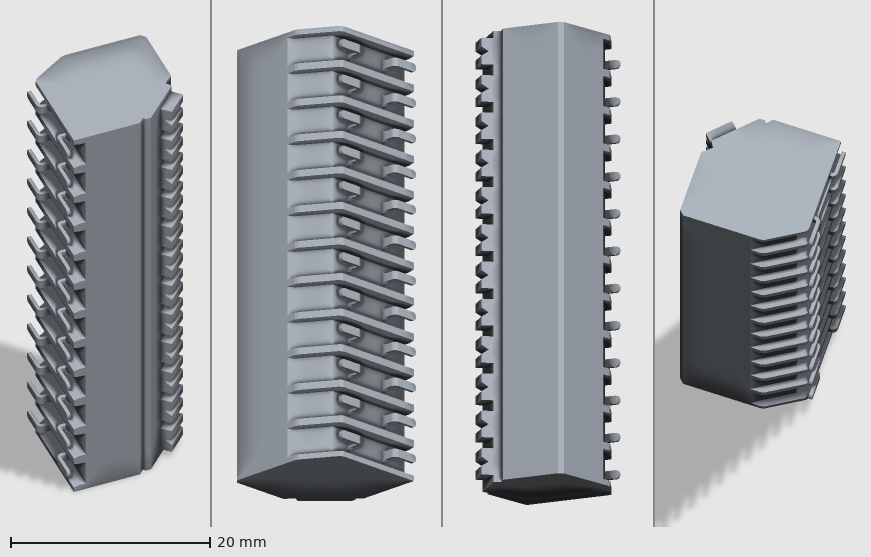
import cadquery as cq
import math

width = 12.7
depth = 12.9
length = 46.1
back_chamfer = 0.45

slope_height = 4.0
slope_run = 2.45
slope_chamfer = 0.25

pole_count = 12
end_walls = 0.39
pole_pitch = (length - end_walls) / pole_count

floor_depth = 1.3
rib_tip_width = 0.75
rib_root_width = 1.0
slope_gradient = slope_height / slope_run
draft_depth = floor_depth / math.hypot(1, slope_gradient)
draft_start = 0.4

notch_start = (7.05, depth)
notch_bottom = (7.9, 11.95)
button_seat = (8.55, 12.35)
seat_end = (12.35, 8.55)
lip_end = (seat_end[0], 8.0)
lip_root = (12.1, 7.75)
right_face_top = (width, 7.2)

button_length = 2.95
button_rise = 1.25
button_width = 2.7
groove_width = 0.9
groove_depth = 0.75

pin_thickness = 0.35
pin_width = 0.88
pin_drop = 0.6
bend_radius = 0.55
left_stem_x = 4.8
right_stem_x = 9.4
foot_length = 3.0
tip_radius = 0.45 * pin_width
shoulder_width = 1.5
shoulder_end = 0.75

embed = 0.45

pole_centres = [(i - (pole_count - 1) / 2) * pole_pitch for i in range(pole_count)]


def z_prism(outline, height):
    """Extrude a closed XY outline symmetrically about Z = 0."""
    return outline.extrude(height / 2, both=True)


def make_housing():
    outline = (
        cq.Workplane("XY")
        .moveTo(width, 0)
        .lineTo(slope_run, 0)
        .lineTo(0, slope_height)
        .lineTo(0, depth)
        .lineTo(*notch_start)
        .lineTo(*notch_bottom)
        .lineTo(*button_seat)
        .lineTo(*seat_end)
        .lineTo(*lip_end)
        .lineTo(*lip_root)
        .lineTo(*right_face_top)
        .close()
    )
    housing = z_prism(outline, length)
    housing = housing.edges(cq.selectors.NearestToPointSelector((0, depth, 0))).chamfer(back_chamfer)
    for corner in [(0, slope_height, 0), (slope_run, 0, 0)]:
        housing = housing.edges(cq.selectors.NearestToPointSelector(corner)).chamfer(slope_chamfer)
    return housing


def recess_section(mouth, root, root_width):
    """Closed cross-section of a recess, from an XY point at its mouth to one at the end of its draft."""
    half_mouth = (pole_pitch - rib_tip_width) / 2
    half_root = (pole_pitch - root_width) / 2
    corners = [
        cq.Vector(*mouth, -half_mouth),
        cq.Vector(*root, -half_root),
        cq.Vector(*root, half_root),
        cq.Vector(*mouth, half_mouth),
    ]
    return cq.Wire.makePolygon(corners, close=True)


def make_recess():
    """Recess along the slope and the front face: drafted at the mouth, straight down to the front floor."""
    start_y = slope_height - slope_gradient * draft_start
    mitre_x = slope_run + (floor_depth - draft_depth) / slope_gradient
    sections = [
        recess_section((0, slope_height), (0, slope_height + floor_depth), rib_tip_width),
        recess_section((draft_start, start_y), (draft_start, start_y + floor_depth), rib_root_width),
        recess_section((slope_run, 0), (mitre_x, draft_depth), rib_root_width),
        recess_section((width, 0), (width, draft_depth), rib_root_width),
    ]
    drafted = cq.Workplane(cq.Solid.makeLoft(sections, True))

    front_floor = cq.Workplane("XY").polyline([
        (slope_run, 0),
        (width, 0),
        (width, floor_depth),
        (slope_run, floor_depth),
    ]).close()
    return drafted.union(z_prism(front_floor, pole_pitch - rib_root_width))


def make_button():
    """Block standing on the 45 degree face, with a V groove along its top."""
    top = button_rise
    block = (
        cq.Workplane("YZ")
        .polyline([
            (-embed, -button_width / 2),
            (top, -button_width / 2),
            (top, -groove_width / 2),
            (top - groove_depth, 0),
            (top, groove_width / 2),
            (top, button_width / 2),
            (-embed, button_width / 2),
        ])
        .close()
        .extrude(button_length)
    )
    return block.rotate((0, 0, 0), (0, 0, 1), -45).translate((*button_seat, 0))


def make_pin(stem_x, direction):
    """Stem leaving the recess floor, bent into a foot that runs along X in the given direction."""
    inner_radius = bend_radius - pin_thickness
    bend_x = stem_x + direction * bend_radius
    bend_y = bend_radius - pin_drop
    inner_x = stem_x + direction * pin_thickness
    foot_x = stem_x + direction * foot_length
    back_y = floor_depth + embed
    diagonal = math.sqrt(0.5)

    side = (
        cq.Workplane("XY")
        .moveTo(stem_x, back_y)
        .lineTo(stem_x, bend_y)
        .threePointArc(
            (bend_x - direction * bend_radius * diagonal, bend_y - bend_radius * diagonal),
            (bend_x, -pin_drop),
        )
        .lineTo(foot_x, -pin_drop)
        .lineTo(foot_x, pin_thickness - pin_drop)
        .lineTo(bend_x, pin_thickness - pin_drop)
        .threePointArc(
            (bend_x - direction * inner_radius * diagonal, bend_y - inner_radius * diagonal),
            (inner_x, bend_y),
        )
        .lineTo(inner_x, back_y)
        .close()
    )
    pin = z_prism(side, pin_width)
    tip_edges = cq.selectors.BoxSelector(
        (foot_x - pin_thickness / 2, -pin_drop, -pin_width),
        (foot_x + pin_thickness / 2, pin_thickness, pin_width),
    )
    pin = pin.edges("|Y").edges(tip_edges).fillet(tip_radius)

    shoulder = (
        cq.Workplane("YZ")
        .polyline([
            (back_y, -shoulder_width / 2),
            (floor_depth, -shoulder_width / 2),
            (shoulder_end, -pin_width / 2),
            (shoulder_end, pin_width / 2),
            (floor_depth, shoulder_width / 2),
            (back_y, shoulder_width / 2),
        ])
        .close()
        .extrude(direction * pin_thickness)
        .translate((stem_x, 0, 0))
    )
    return pin.union(shoulder)


def at_every_pole(part):
    """Copies of a part made at Z = 0, one for each pole."""
    return [part.val().translate(cq.Vector(0, 0, z)) for z in pole_centres]


recesses = at_every_pole(make_recess())
added_parts = [make_button(), make_pin(left_stem_x, -1), make_pin(right_stem_x, 1)]
additions = [copy for part in added_parts for copy in at_every_pole(part)]

housing = make_housing().val().cut(*recesses)
result = cq.Workplane(housing.fuse(*additions)).combine()